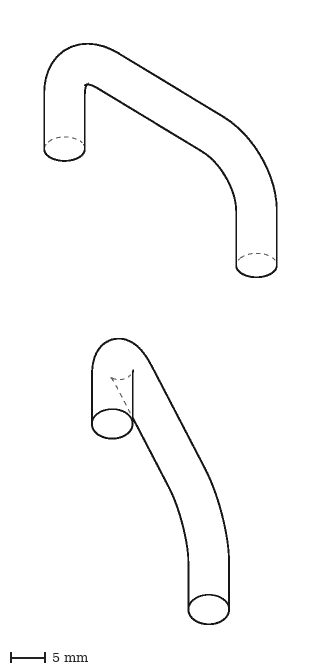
import cadquery as cq

overall_length = 46.0
overall_height = 22.0
rod_diameter = 6.0
bend_radius = 9.0

rod_radius = rod_diameter / 2
leg_x = overall_length / 2 - rod_radius
grip_z = overall_height - rod_radius
bend_start_z = grip_z - bend_radius
grip_end_x = leg_x - bend_radius

centreline = (
    cq.Workplane("XZ")
    .moveTo(-leg_x, 0)
    .lineTo(-leg_x, bend_start_z)
    .radiusArc((-grip_end_x, grip_z), bend_radius)
    .lineTo(grip_end_x, grip_z)
    .radiusArc((leg_x, bend_start_z), bend_radius)
    .lineTo(leg_x, 0)
)

result = cq.Workplane("XY").center(-leg_x, 0).circle(rod_radius).sweep(centreline)